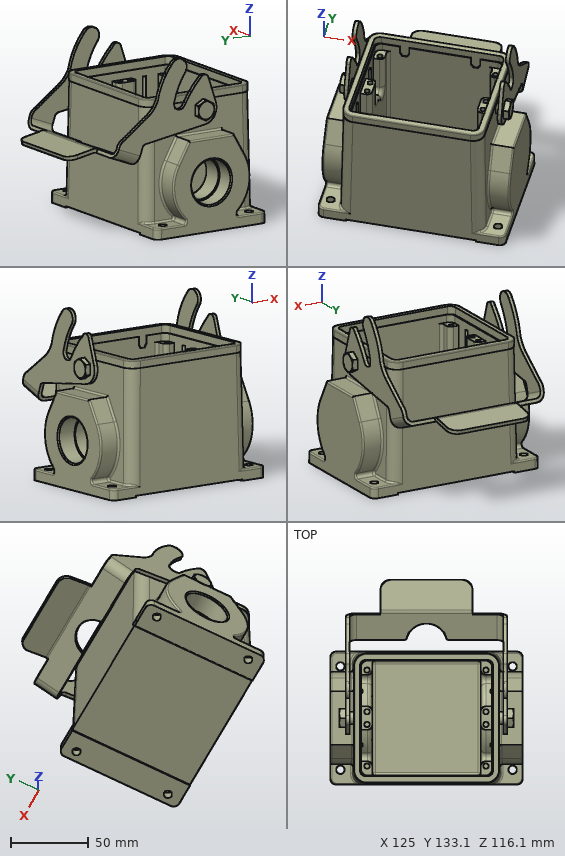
import cadquery as cq
import math

FLANGE_LENGTH = 125.0
FLANGE_WIDTH = 86.5
FLANGE_HEIGHT = 7.6
FLANGE_CORNER_RADIUS = 4.1
FLANGE_TOP_ROUND = 0.9
FLANGE_HOLE_DIAMETER = 5.3
FLANGE_HOLE_X = 55.9
FLANGE_HOLE_Y = 33.5
FOOT_RECESS_LENGTH = 86.7
FOOT_RECESS_DEPTH = 1.0

HOUSING_HEIGHT = 90.5
RIM_LENGTH = 94.2
RIM_WIDTH = 83.8
RIM_HEIGHT = 5.5
RIM_TOP_ROUND = 0.5
BODY_BASE_LENGTH = 96.8
BODY_DRAFT = 1.0
BODY_CORNER_RADIUS = 7.7
ROOT_ROUND = 1.3
RIM_BOTTOM = HOUSING_HEIGHT - RIM_HEIGHT

MOUTH_LENGTH = 86.5
MOUTH_WIDTH = 75.5
MOUTH_CORNER_RADIUS = 4.0
MOUTH_DEPTH = 5.3
MOUTH_BOTTOM = HOUSING_HEIGHT - MOUTH_DEPTH
CAVITY_UPPER_LENGTH = 84.9
CAVITY_LOWER_LENGTH = 70.5
CAVITY_WIDTH = 74.5
CAVITY_FLOOR = 4.0
CAVITY_ROUND = 2.0
NOTCH_X = 23.7
NOTCH_WIDTH = 6.1
NOTCH_STRAIGHT_DEPTH = 5.3
NOTCH_POINT_DEPTH = 2.4

PILLAR_TOP = 79.8
CORNER_PILLAR_FACE_Y = 28.1
CENTRE_PILLAR_HALF_WIDTH = 7.6
PILLAR_EDGE_ROUND = 3.2
PILLAR_HOLE_DIAMETER = 3.5
PILLAR_HOLE_DEPTH = 13.3
PILLAR_HOLE_X = 38.6
PILLAR_HOLE_YS = (-31.1, -4.1, 4.1, 31.1)
TROUGH_RADIUS = 30.6
TROUGH_ROOT_RADIUS = 3.2
GUIDE_PIN_RADIUS = 1.2
GUIDE_PIN_Y = 17.4

HUB_AXIS_Z = 33.0
HUB_RADIUS = 30.0
HUB_TOP = 62.9
HUB_FLANK_ANGLE = 30.0
HUB_FOOT_RADIUS = 2.0
HUB_EDGE_ROUND = 1.0
BORE_DIAMETER = 30.3
BORE_CHAMFER = 0.9
BORE_CHAMFER_ANGLE = 45.0
BORE_DEPTH = 13.3
INNER_BORE_DIAMETER = 28.2

PIVOT_Z = 79.8
PIVOT_DIAMETER = 8.0
PIVOT_INNER_X = 45.2
HEX_ACROSS_FLATS = 12.1
HEX_HEIGHT = 4.0
HEX_BEVEL_ANGLE = 60.0
LEVER_THICKNESS = 2.7
LEVER_SPAN = 105.1
LEVER_EYE_RADIUS = 10.5
LEVER_LOWER_EDGE_SLOPE = 8.6
LEVER_FRONT_EDGE_SLOPE = 18.4
BEND_RADIUS = 7.0
CROSSBAR_EDGE_Y = 68.1
CROSSBAR_EDGE_Z = 55.2
CROSSBAR_WIDTH = 17.8
CROSSBAR_SLOPE = 21.4
CUTOUT_RADIUS = 13.0
CUTOUT_CENTRE = 19.4
CUTOUT_EDGE_ROUND = 2.0
TAB_TIP_Y = 89.8
TAB_WIDTH = 59.9
TAB_SLOPE = 10.0
TAB_BEND_START = 0.8
TAB_BEND_RADIUS = 4.7
TAB_CORNER_RADIUS = 6.7

HEEL_FRONT = (47.4, 59.9)
HEEL_MIDDLE = (46.0, 62.0)
HEEL_END = (43.9, 62.7)
BEAK_FRONT = (-4.3, 100.3)
BEAK_TIP = (-1.6, 102.8)
BEAK_REAR = (1.7, 101.4)
SLOT_FRONT_BULGE = (7.3, 95.0)
SLOT_FRONT = (14.2, 84.7)
SLOT_BOTTOM = (18.4, 82.1)
SLOT_REAR = (22.5, 87.8)
HORN_FRONT_HOLLOW = (19.0, 97.6)
HORN_FRONT = (14.0, 106.3)
HORN_TIP = (19.0, 116.1)
HORN_REAR = (24.0, 113.5)
HORN_REAR_BULGE = (30.6, 103.5)
HORN_FOOT = (35.3, 90.0)
HORN_FOOT_HOLLOW = (37.8, 85.5)
BACK_FRONT = (41.9, 81.3)
BACK_REAR = (61.3, 67.3)
BACK_CORNER = (64.1, 65.0)

PICK_MARGIN = 0.7


def block(length, width, bottom, top, corner_radius=0):
    """Box centred on the Z axis between two heights, its upright edges rounded if asked."""
    box = cq.Workplane("XY").workplane(offset=bottom).rect(length, width).extrude(top - bottom)
    if corner_radius:
        box = box.edges("|Z").fillet(corner_radius)
    return box


def both_ends(part):
    """The part together with its mirror image at the other X end."""
    return part.union(part.mirror("YZ"))


def on_circle(centre, radius, degrees):
    """Point of a circle at an angle from the first axis."""
    angle = math.radians(degrees)
    return (centre[0] + radius * math.cos(angle), centre[1] + radius * math.sin(angle))


def make_flange():
    """Flange whose long sides lean inward with the same draft as the body."""
    lean = FLANGE_HEIGHT * math.tan(math.radians(BODY_DRAFT))
    half_width = FLANGE_WIDTH / 2
    flange = (
        cq.Workplane("YZ")
        .polyline(
            [
                (-half_width, 0),
                (half_width, 0),
                (half_width - lean, FLANGE_HEIGHT),
                (lean - half_width, FLANGE_HEIGHT),
            ]
        )
        .close()
        .extrude(FLANGE_LENGTH / 2, both=True)
        .edges("not (|X or |Y)")
        .fillet(FLANGE_CORNER_RADIUS)
    )
    return flange.faces(">Z").edges().fillet(FLANGE_TOP_ROUND)


def make_body():
    body = (
        cq.Workplane("XY")
        .rect(BODY_BASE_LENGTH, FLANGE_WIDTH)
        .extrude(RIM_BOTTOM, taper=BODY_DRAFT)
        .edges("not #Z")
        .fillet(BODY_CORNER_RADIUS)
    )
    rim = block(RIM_LENGTH, RIM_WIDTH, RIM_BOTTOM, HOUSING_HEIGHT, BODY_CORNER_RADIUS)
    rim = rim.faces(">Z").edges().fillet(RIM_TOP_ROUND)
    return body.union(rim)


def make_hub():
    """Hub on the -X end, with a flat top, sloping flanks and a foot rounded into the flange."""
    centre = (0, HUB_AXIS_Z)
    flank_y, flank_z = on_circle(centre, HUB_RADIUS, HUB_FLANK_ANGLE)
    top_y = flank_y - (HUB_TOP - flank_z) * math.tan(math.radians(HUB_FLANK_ANGLE))
    foot_z = FLANGE_HEIGHT + HUB_FOOT_RADIUS
    foot_distance = HUB_RADIUS + HUB_FOOT_RADIUS
    foot_angle = math.degrees(math.asin((foot_z - HUB_AXIS_Z) / foot_distance))
    foot_centre = on_circle(centre, foot_distance, foot_angle)
    neck = on_circle(centre, HUB_RADIUS, foot_angle)
    neck_side = on_circle(foot_centre, HUB_FOOT_RADIUS, 180)
    side = (HUB_RADIUS, HUB_AXIS_Z)
    foot_y = foot_centre[0]
    outline = (
        cq.Workplane("YZ")
        .workplane(offset=-FLANGE_LENGTH / 2)
        .moveTo(-top_y, HUB_TOP)
        .lineTo(top_y, HUB_TOP)
        .lineTo(flank_y, flank_z)
        .threePointArc(side, neck)
        .threePointArc(neck_side, (foot_y, FLANGE_HEIGHT))
        .lineTo(foot_y, FLANGE_HEIGHT / 2)
        .lineTo(-foot_y, FLANGE_HEIGHT / 2)
        .lineTo(-foot_y, FLANGE_HEIGHT)
        .threePointArc((-neck_side[0], neck_side[1]), (-neck[0], neck[1]))
        .threePointArc((-side[0], side[1]), (-flank_y, flank_z))
        .close()
    )
    hub = outline.extrude((FLANGE_LENGTH - CAVITY_LOWER_LENGTH) / 2)
    face_x = -FLANGE_LENGTH / 2
    face_edge = cq.selectors.BoxSelector(
        (face_x - PICK_MARGIN, -HUB_RADIUS, FLANGE_HEIGHT + PICK_MARGIN),
        (face_x + PICK_MARGIN, HUB_RADIUS, HUB_TOP + PICK_MARGIN),
    )
    return hub.edges(face_edge).fillet(HUB_EDGE_ROUND)


def make_trough_cutter():
    """Space between a corner pillar and the centre pillar, on the +Y side."""
    root_reach = TROUGH_RADIUS + TROUGH_ROOT_RADIUS
    root_y = CORNER_PILLAR_FACE_Y - TROUGH_ROOT_RADIUS
    root_angle = math.degrees(math.acos(root_y / root_reach))
    axis = (0, HUB_AXIS_Z)
    root_centre = on_circle(axis, root_reach, root_angle)
    touch = on_circle(axis, TROUGH_RADIUS, root_angle)
    inner_angle = math.degrees(math.acos(CENTRE_PILLAR_HALF_WIDTH / TROUGH_RADIUS))
    inner = on_circle(axis, TROUGH_RADIUS, inner_angle)
    middle = on_circle(axis, TROUGH_RADIUS, (inner_angle + root_angle) / 2)
    return (
        cq.Workplane("YZ")
        .workplane(offset=-CAVITY_UPPER_LENGTH / 2)
        .moveTo(CENTRE_PILLAR_HALF_WIDTH, PILLAR_TOP)
        .lineTo(*inner)
        .threePointArc(middle, touch)
        .threePointArc(
            on_circle(root_centre, TROUGH_ROOT_RADIUS, (root_angle - 180) / 2),
            (CORNER_PILLAR_FACE_Y, root_centre[1]),
        )
        .lineTo(CORNER_PILLAR_FACE_Y, PILLAR_TOP)
        .close()
        .extrude(CAVITY_UPPER_LENGTH)
    )


def make_cavity():
    """Everything removed from the housing interior."""
    lower = block(CAVITY_LOWER_LENGTH, CAVITY_WIDTH, CAVITY_FLOOR, PILLAR_TOP, CAVITY_ROUND)
    trough = make_trough_cutter()
    cavity = lower.union(trough).union(trough.mirror("XZ"))
    half_lower = CAVITY_LOWER_LENGTH / 2
    for end in (-1, 1):
        front = cq.selectors.BoxSelector(
            (end * half_lower - PICK_MARGIN, -CORNER_PILLAR_FACE_Y - PICK_MARGIN, HUB_AXIS_Z),
            (end * half_lower + PICK_MARGIN, CORNER_PILLAR_FACE_Y + PICK_MARGIN, PILLAR_TOP),
        )
        cavity = cavity.edges(front).edges("|Z").fillet(PILLAR_EDGE_ROUND)
    cavity = cavity.faces("<Z").edges().fillet(CAVITY_ROUND)
    upper = block(CAVITY_UPPER_LENGTH, CAVITY_WIDTH, PILLAR_TOP, HOUSING_HEIGHT, MOUTH_CORNER_RADIUS)
    mouth = block(MOUTH_LENGTH, MOUTH_WIDTH, MOUTH_BOTTOM, HOUSING_HEIGHT, MOUTH_CORNER_RADIUS)
    cavity = cavity.union(upper).union(mouth)

    for x in (-NOTCH_X, NOTCH_X):
        cavity = cavity.union(make_notch(x))

    for x in (-CAVITY_UPPER_LENGTH / 2, CAVITY_UPPER_LENGTH / 2):
        for y in (-GUIDE_PIN_Y, GUIDE_PIN_Y):
            pin = cq.Workplane("XY").workplane(offset=HUB_AXIS_Z).center(x, y)
            cavity = cavity.cut(pin.circle(GUIDE_PIN_RADIUS).extrude(PILLAR_TOP - HUB_AXIS_Z))
    return cavity


def make_notch(x):
    """Shallow pointed notch in the +Y wall, level with the mouth wall."""
    shoulder = MOUTH_BOTTOM - NOTCH_STRAIGHT_DEPTH
    half = NOTCH_WIDTH / 2
    outline = [
        (x - half, MOUTH_BOTTOM),
        (x - half, shoulder),
        (x - half / 2, shoulder - NOTCH_POINT_DEPTH),
        (x + half / 2, shoulder - NOTCH_POINT_DEPTH),
        (x + half, shoulder),
        (x + half, MOUTH_BOTTOM),
    ]
    return (
        cq.Workplane("XZ")
        .workplane(offset=-MOUTH_WIDTH / 2)
        .polyline(outline)
        .close()
        .extrude(MOUTH_WIDTH - CAVITY_WIDTH)
    )


def make_pillar_holes():
    points = [(end * PILLAR_HOLE_X, y) for end in (-1, 1) for y in PILLAR_HOLE_YS]
    return (
        cq.Workplane("XY")
        .workplane(offset=PILLAR_TOP)
        .pushPoints(points)
        .circle(PILLAR_HOLE_DIAMETER / 2)
        .extrude(-PILLAR_HOLE_DEPTH)
    )


def make_cable_bore():
    """Stepped bore through the -X hub into the cavity."""
    face = cq.Workplane("YZ", origin=(-FLANGE_LENGTH / 2, 0, HUB_AXIS_Z))
    inner = face.circle(INNER_BORE_DIAMETER / 2).extrude((FLANGE_LENGTH - CAVITY_LOWER_LENGTH) / 2)
    outer = face.circle(BORE_DIAMETER / 2).extrude(BORE_DEPTH)
    mouth_radius = BORE_DIAMETER / 2 + BORE_CHAMFER
    lead_in = face.circle(mouth_radius).extrude(BORE_CHAMFER, taper=BORE_CHAMFER_ANGLE)
    return inner.union(outer).union(lead_in)


def make_lever_arm():
    """Flat arm on the -X side, with the hooked horn, the pivot eye and the end that bends under."""
    pivot = (0, PIVOT_Z)
    eye_bottom = on_circle(pivot, LEVER_EYE_RADIUS, -90 - LEVER_LOWER_EDGE_SLOPE)
    eye_side = on_circle(pivot, LEVER_EYE_RADIUS, -135)
    eye_front = on_circle(pivot, LEVER_EYE_RADIUS, 180 - LEVER_FRONT_EDGE_SLOPE)
    slope = math.radians(CROSSBAR_SLOPE)
    bend_rear = (
        CROSSBAR_EDGE_Y - BEND_RADIUS * math.sin(slope),
        CROSSBAR_EDGE_Z + BEND_RADIUS * math.cos(slope),
    )
    bend_front = (
        bend_rear[0] - CROSSBAR_WIDTH * math.cos(slope),
        bend_rear[1] - CROSSBAR_WIDTH * math.sin(slope),
    )
    return (
        cq.Workplane("YZ")
        .workplane(offset=-LEVER_SPAN / 2)
        .moveTo(*bend_rear)
        .lineTo(*bend_front)
        .lineTo(*HEEL_FRONT)
        .threePointArc(HEEL_MIDDLE, HEEL_END)
        .lineTo(*eye_bottom)
        .threePointArc(eye_side, eye_front)
        .lineTo(*BEAK_FRONT)
        .threePointArc(BEAK_TIP, BEAK_REAR)
        .threePointArc(SLOT_FRONT_BULGE, SLOT_FRONT)
        .threePointArc(SLOT_BOTTOM, SLOT_REAR)
        .threePointArc(HORN_FRONT_HOLLOW, HORN_FRONT)
        .threePointArc(HORN_TIP, HORN_REAR)
        .threePointArc(HORN_REAR_BULGE, HORN_FOOT)
        .threePointArc(HORN_FOOT_HOLLOW, BACK_FRONT)
        .lineTo(*BACK_REAR)
        .threePointArc(BACK_CORNER, bend_rear)
        .close()
        .extrude(LEVER_THICKNESS)
    )


def make_crossbar():
    """Bar that joins the two arms, with bent ends and a round cutout in its front edge."""
    slope = math.radians(CROSSBAR_SLOPE)
    edge = (0, CROSSBAR_EDGE_Y, CROSSBAR_EDGE_Z)
    across = cq.Vector(0, -math.cos(slope), -math.sin(slope))
    upward = cq.Vector(0, -math.sin(slope), math.cos(slope))
    half_span = LEVER_SPAN / 2
    half_flat = half_span - BEND_RADIUS
    inner_half_span = half_span - LEVER_THICKNESS
    inner_bend = BEND_RADIUS - LEVER_THICKNESS

    def bend_middle(side, radius):
        offset = radius * math.sqrt(0.5)
        return (side * (half_flat + offset), BEND_RADIUS - offset)

    bar = (
        cq.Workplane(cq.Plane(origin=edge, xDir=(1, 0, 0), normal=across))
        .moveTo(-half_span, BEND_RADIUS)
        .threePointArc(bend_middle(-1, BEND_RADIUS), (-half_flat, 0))
        .lineTo(half_flat, 0)
        .threePointArc(bend_middle(1, BEND_RADIUS), (half_span, BEND_RADIUS))
        .lineTo(inner_half_span, BEND_RADIUS)
        .threePointArc(bend_middle(1, inner_bend), (half_flat, LEVER_THICKNESS))
        .lineTo(-half_flat, LEVER_THICKNESS)
        .threePointArc(bend_middle(-1, inner_bend), (-inner_half_span, BEND_RADIUS))
        .close()
        .extrude(CROSSBAR_WIDTH)
    )
    cutout = (
        cq.Workplane(cq.Plane(origin=edge, xDir=(1, 0, 0), normal=upward))
        .center(0, -CUTOUT_CENTRE)
        .circle(CUTOUT_RADIUS)
        .extrude(LEVER_THICKNESS)
    )
    near_cutout = cq.selectors.BoxSelector(
        (-CUTOUT_RADIUS - PICK_MARGIN, 0, 0),
        (CUTOUT_RADIUS + PICK_MARGIN, CROSSBAR_EDGE_Y, HOUSING_HEIGHT),
    )
    bar = bar.cut(cutout)
    upright = cq.selectors.ParallelDirSelector(upward)
    return bar.edges(near_cutout).edges(upright).fillet(CUTOUT_EDGE_ROUND)


def make_tab():
    """Finger tab that bends outward from the rear edge of the crossbar."""
    bar_edge = (CROSSBAR_EDGE_Y, CROSSBAR_EDGE_Z)
    inner_radius = TAB_BEND_RADIUS - LEVER_THICKNESS
    start_angle = 90 + CROSSBAR_SLOPE
    end_angle = 90 - TAB_SLOPE
    middle_angle = (start_angle + end_angle) / 2
    bend_start = on_circle(bar_edge, TAB_BEND_START, CROSSBAR_SLOPE)
    bend_centre = on_circle(bend_start, inner_radius, start_angle - 180)
    upper_bend_end = on_circle(bend_centre, TAB_BEND_RADIUS, end_angle)
    straight_length = (TAB_TIP_Y - upper_bend_end[0]) / math.cos(math.radians(TAB_SLOPE))
    upper_tip = on_circle(upper_bend_end, straight_length, -TAB_SLOPE)
    tab = (
        cq.Workplane("YZ")
        .moveTo(*bar_edge)
        .lineTo(*on_circle(bar_edge, LEVER_THICKNESS, start_angle))
        .lineTo(*on_circle(bend_centre, TAB_BEND_RADIUS, start_angle))
        .threePointArc(on_circle(bend_centre, TAB_BEND_RADIUS, middle_angle), upper_bend_end)
        .lineTo(*upper_tip)
        .lineTo(*on_circle(upper_tip, LEVER_THICKNESS, end_angle - 180))
        .lineTo(*on_circle(bend_centre, inner_radius, end_angle))
        .threePointArc(on_circle(bend_centre, inner_radius, middle_angle), bend_start)
        .close()
        .extrude(TAB_WIDTH / 2, both=True)
    )
    return tab.faces(">Y").edges("not |X").fillet(TAB_CORNER_RADIUS)


def make_pivot():
    """Pivot pin through the -X arm with its hexagon head."""
    head_x = -LEVER_SPAN / 2 - HEX_HEIGHT
    corner_diameter = HEX_ACROSS_FLATS / math.cos(math.pi / 6)
    base = cq.Workplane("YZ", origin=(head_x, 0, PIVOT_Z))
    head = base.transformed(rotate=(0, 0, 90)).polygon(6, corner_diameter).extrude(HEX_HEIGHT)
    bevel = base.circle(HEX_ACROSS_FLATS / 2).extrude(HEX_HEIGHT, taper=-HEX_BEVEL_ANGLE)
    pin = base.circle(PIVOT_DIAMETER / 2).extrude(-head_x - PIVOT_INNER_X)
    return head.intersect(bevel).union(pin)


def round_roots(housing):
    """Round the inside edges where the end walls meet the hubs and the flange."""
    base_x = BODY_BASE_LENGTH / 2
    top_x = base_x - HUB_TOP * math.tan(math.radians(BODY_DRAFT))
    for end in (-1, 1):
        root = cq.selectors.BoxSelector(
            (end * (base_x + PICK_MARGIN), -HUB_RADIUS, FLANGE_HEIGHT - PICK_MARGIN),
            (end * (top_x - PICK_MARGIN), HUB_RADIUS, HUB_TOP + PICK_MARGIN),
        )
        housing = housing.edges(root).fillet(ROOT_ROUND)
    return housing


def make_housing():
    housing = make_flange().union(make_body()).union(both_ends(make_hub()))
    housing = round_roots(housing)
    housing = housing.cut(make_cavity()).cut(make_pillar_holes()).cut(make_cable_bore())
    flange_holes = (
        cq.Workplane("XY")
        .rect(2 * FLANGE_HOLE_X, 2 * FLANGE_HOLE_Y, forConstruction=True)
        .vertices()
        .circle(FLANGE_HOLE_DIAMETER / 2)
        .extrude(FLANGE_HEIGHT)
    )
    foot_recess = block(FOOT_RECESS_LENGTH, FLANGE_WIDTH, 0, FOOT_RECESS_DEPTH)
    return housing.cut(flange_holes).cut(foot_recess)


def make_lever():
    arms = both_ends(make_lever_arm())
    return arms.union(make_crossbar()).union(make_tab())


result = make_housing().union(both_ends(make_pivot())).union(make_lever())